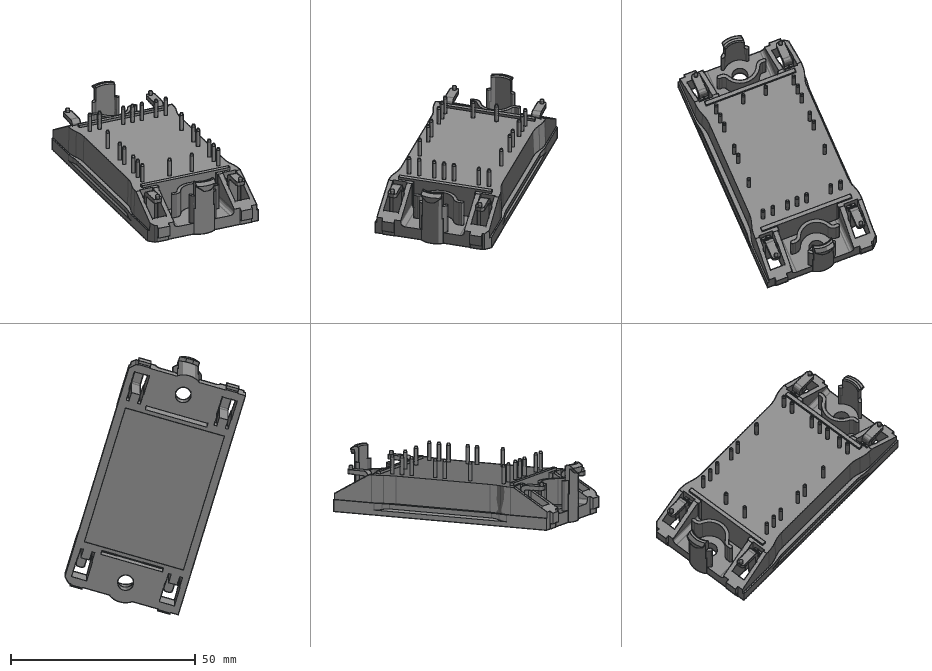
import cadquery as cq
import math

OVERALL_HALF_X = 34.2
BASE_HALF_X = 32.1
BASE_HALF_Y = 16.25
FLOOR_Z = 3.5
LID_Z = 11.1

PLATE_SIZE = (39.2, 28.0, 0.2)
BASE_Z = PLATE_SIZE[2]
CORNER_CHAMFER = 1.55

UPPER_HALF_Y = 15.8
WAIST_HALF_Y = 14.55
DRAFT_ANGLE = 1.5
WAIST_START_X, WAIST_END_X = 14.2, 21.0

SLOPE_TOP_X = 21.85
SLOPE_ANGLE = 30.0

GROOVE_DEPTH = 0.42
GROOVE_START_X, GROOVE_END_X = 15.4, 20.0
GROOVE_LOW_Z, GROOVE_HIGH_Z = 1.6, 2.2

SLOT_IN_X, SLOT_OUT_X = 20.65, 21.75
SLOT_HALF_Y = 8.7
CHANNEL_HALF_Y = 9.0
CHANNEL_RADIUS = 1.25
WINDOW_IN_X = 21.4
WINDOW_OUT_X = 30.0
WINDOW_Y = 12.4
WINDOW_WIDTH = 4.25
WINDOW_NARROW_X = 24.6
WINDOW_IN_WIDTH = 3.95

TAB_REACH = 0.9
TAB_Y = WINDOW_Y
TAB_WIDTH = 3.4
TAB_LOW_Z = 1.7
TAB_FOOT_REACH = 0.15

HOLE_X = 27.5
HOLE_DIAMETER = 4.3

ARM_TIP_X = 29.45
ARM_BACK_X = 23.1
ARM_TOP_Z = 11.55
ARM_THICKNESS = 1.1
ARM_ROOT_THICKNESS = 1.3
ARM_INNER_RADIUS = 0.4
ARM_WIDTH = 2.45
ARM_TIP_RADIUS = 0.8
ARM_BEND_RADIUS = 1.3
ARM_FOOT_Z = 9.0
CROSS_RISE = 0.4
CROSS_THICKNESS = 0.3
STUD_X = 28.8
STUD_DIAMETER = 1.1
STUD_TOP_Z = 12.6
STUD_ROUNDING = 0.35

CLIP_INNER_R, CLIP_OUTER_R = 4.6, 5.65
CLIP_TOP_Z = 15.95
CLIP_TOP_CHAMFER = 0.35
CLIP_HALF_Y = 2.8
CLIP_FOOT_HALF_Y = 3.05
CLIP_SHOULDER_Z = 8.0
CLIP_EAR_OUTER_R = 5.5
CLIP_EAR_ANGLE = 45.0
CLIP_EAR_Z = 11.75
LIP_R = OVERALL_HALF_X - HOLE_X
LIP_LOW_Z, LIP_HIGH_Z = 13.6, 15.2
LIP_LOW_HALF_Y = 1.0
LIP_CORNER_Z = 15.0

GUIDE_R = 4.9
GUIDE_THICKNESS = 0.95
GUIDE_END_X = 26.37
GUIDE_END_Y = 7.1
GUIDE_BEND_R = 1.6
GUIDE_TOP_Z = 10.6

RIB_SIZE = (1.1, 26.3, 0.7)

PIN_DIAMETER = 1.0
PIN_TOP_Z = 16.28
PIN_CHAMFER_HEIGHT = 0.55
PIN_CHAMFER = 0.22
PIN_ROW_Y = 11.35
PIN_COLUMN_X = 16.8
UPPER_ROW_X = [-PIN_COLUMN_X, -6.7, 1.0, 3.9, 11.0, 13.9, PIN_COLUMN_X]
LOWER_ROW_X = [-PIN_COLUMN_X, -5.4, 2.4, 5.2, 11.0, 13.9, PIN_COLUMN_X]
LEFT_COLUMN_Y = [8.45, 4.2, 1.4, -1.4, -8.45]
RIGHT_COLUMN_Y = [3.45, -3.2]


def box(x_min, x_max, y_min, y_max, z_min, z_max):
    size = (x_max - x_min, y_max - y_min, z_max - z_min)
    return cq.Workplane().box(*size, centered=False).translate((x_min, y_min, z_min))


def cylinder(x, y, radius, z_min, z_max):
    return cq.Workplane().workplane(offset=z_min).center(x, y).circle(radius).extrude(z_max - z_min)


def prism_along_y(points, y_center, width):
    """Extrude an XZ outline symmetrically about y_center."""
    return cq.Workplane("XZ", origin=(0, y_center, 0)).polyline(points).close().extrude(width / 2, both=True)


def both_ends(body):
    """The body together with its mirror image at the other end of the part."""
    return body.union(body.mirror("YZ"))


def both_sides(body):
    """The body together with its mirror image on the other long side."""
    return body.union(body.mirror("XZ"))


def slope_z(x):
    """Height of the end slope at a distance x from the middle."""
    return LID_Z - (x - SLOPE_TOP_X) * math.tan(math.radians(SLOPE_ANGLE))


def waisted_outline(z, half_x, wide_y, waist_y, waist_x, wide_x):
    """Closed outline whose long sides narrow to waist_y along smooth S-curves."""
    middle_x = (waist_x + wide_x) / 2
    middle_y = (waist_y + wide_y) / 2
    return (
        cq.Workplane()
        .workplane(offset=z)
        .moveTo(-half_x, 0)
        .lineTo(-half_x, wide_y)
        .lineTo(-wide_x, wide_y)
        .tangentArcPoint((-middle_x, middle_y), relative=False)
        .tangentArcPoint((-waist_x, waist_y), relative=False)
        .lineTo(waist_x, waist_y)
        .tangentArcPoint((middle_x, middle_y), relative=False)
        .tangentArcPoint((wide_x, wide_y), relative=False)
        .lineTo(half_x, wide_y)
        .lineTo(half_x, 0)
        .mirrorX()
    )


def base_flange():
    """Lower slab with a shallow waisted groove along both long sides."""
    slab = box(-BASE_HALF_X, BASE_HALF_X, -BASE_HALF_Y, BASE_HALF_Y, BASE_Z, FLOOR_Z)
    groove_y = BASE_HALF_Y - GROOVE_DEPTH
    groove = (
        cq.Workplane("YZ")
        .polyline([
            (groove_y, FLOOR_Z),
            (groove_y, GROOVE_HIGH_Z),
            (BASE_HALF_Y, GROOVE_LOW_Z),
            (BASE_HALF_Y, FLOOR_Z),
        ])
        .close()
        .extrude(GROOVE_END_X, both=True)
    )
    core = waisted_outline(
        BASE_Z, BASE_HALF_X, BASE_HALF_Y, groove_y, GROOVE_START_X, GROOVE_END_X
    ).extrude(FLOOR_Z - BASE_Z)
    return slab.cut(both_sides(groove.cut(core)))


def housing():
    """Drafted upper body with a flat lid and sloping ends."""
    drafted = waisted_outline(
        FLOOR_Z, OVERALL_HALF_X, UPPER_HALF_Y, WAIST_HALF_Y, WAIST_START_X, WAIST_END_X
    ).extrude(LID_Z - FLOOR_Z, taper=DRAFT_ANGLE)
    end_profile = [
        (-BASE_HALF_X, FLOOR_Z),
        (-BASE_HALF_X, slope_z(BASE_HALF_X)),
        (-SLOPE_TOP_X, LID_Z),
        (SLOPE_TOP_X, LID_Z),
        (BASE_HALF_X, slope_z(BASE_HALF_X)),
        (BASE_HALF_X, FLOOR_Z),
    ]
    return drafted.intersect(prism_along_y(end_profile, 0, 2 * BASE_HALF_Y))


def end_openings():
    """Mounting channel, slot, arm windows and screw hole of one end."""
    channel = box(
        SLOT_OUT_X, BASE_HALF_X, -CHANNEL_HALF_Y, CHANNEL_HALF_Y, FLOOR_Z, 2 * LID_Z
    ).edges("|X and <Z").fillet(CHANNEL_RADIUS)
    slot = box(SLOT_IN_X, SLOT_OUT_X, -SLOT_HALF_Y, SLOT_HALF_Y, 0, LID_Z)
    window_out = box(
        WINDOW_NARROW_X, WINDOW_OUT_X,
        WINDOW_Y - WINDOW_WIDTH / 2, WINDOW_Y + WINDOW_WIDTH / 2, 0, LID_Z,
    )
    narrow_y_min = WINDOW_Y - WINDOW_IN_WIDTH / 2
    narrow_y_max = WINDOW_Y + WINDOW_IN_WIDTH / 2
    window_in = box(SLOT_OUT_X, WINDOW_NARROW_X, narrow_y_min, narrow_y_max, 0, LID_Z).union(
        box(WINDOW_IN_X, SLOT_OUT_X, narrow_y_min, narrow_y_max, FLOOR_Z, LID_Z)
    )
    hole = cylinder(HOLE_X, 0, HOLE_DIAMETER / 2, 0, LID_Z)
    window = window_out.union(window_in)
    return channel.union(slot).union(both_sides(window)).union(hole)


def corner_chamfer():
    """Material to remove from the corner at +X, -Y."""
    return (
        cq.Workplane()
        .moveTo(BASE_HALF_X, -BASE_HALF_Y)
        .lineTo(BASE_HALF_X, -BASE_HALF_Y + CORNER_CHAMFER)
        .lineTo(BASE_HALF_X - CORNER_CHAMFER, -BASE_HALF_Y)
        .close()
        .extrude(LID_Z)
    )


def tab():
    """Locating tab on the end face, topped by the end slope."""
    tip_x = BASE_HALF_X + TAB_REACH
    foot_x = BASE_HALF_X + TAB_FOOT_REACH
    profile = [
        (BASE_HALF_X, BASE_Z),
        (foot_x, BASE_Z),
        (foot_x, TAB_LOW_Z),
        (tip_x, TAB_LOW_Z),
        (tip_x, slope_z(tip_x)),
        (BASE_HALF_X, slope_z(BASE_HALF_X)),
    ]
    return prism_along_y(profile, TAB_Y, TAB_WIDTH)


def spring_arm():
    """Bent arm over the window, its foot on the housing wall and its stud."""
    y_min = WINDOW_Y - ARM_WIDTH / 2
    y_max = WINDOW_Y + ARM_WIDTH / 2
    leg_x = ARM_BACK_X + ARM_THICKNESS
    profile = [
        (ARM_BACK_X, BASE_Z),
        (ARM_BACK_X, ARM_TOP_Z),
        (ARM_TIP_X, ARM_TOP_Z),
        (ARM_TIP_X, ARM_TOP_Z - ARM_THICKNESS),
        (leg_x, ARM_TOP_Z - ARM_ROOT_THICKNESS),
        (leg_x, BASE_Z),
    ]
    bent = prism_along_y(profile, WINDOW_Y, ARM_WIDTH)
    bent = bent.edges("|Z and >X").fillet(ARM_TIP_RADIUS)
    bent = bent.edges("|Y and <X and >Z").fillet(ARM_BEND_RADIUS)
    inner_corner = cq.selectors.NearestToPointSelector((leg_x, WINDOW_Y, ARM_TOP_Z - ARM_ROOT_THICKNESS))
    bent = bent.edges(inner_corner).fillet(ARM_INNER_RADIUS)
    foot = box(WINDOW_IN_X, ARM_BACK_X, y_min, y_max, BASE_Z, ARM_FOOT_Z)
    cross_z = ARM_FOOT_Z + CROSS_RISE
    cross_x = (WINDOW_IN_X + ARM_BACK_X) / 2
    half = CROSS_THICKNESS / 2
    rib = box(WINDOW_IN_X, ARM_BACK_X, WINDOW_Y - half, WINDOW_Y + half, ARM_FOOT_Z, cross_z)
    cross_rib = box(cross_x - half, cross_x + half, y_min, y_max, ARM_FOOT_Z, cross_z)
    stud = cylinder(STUD_X, WINDOW_Y, STUD_DIAMETER / 2, ARM_TOP_Z, STUD_TOP_Z)
    stud = stud.faces(">Z").edges().fillet(STUD_ROUNDING)
    return bent.union(foot).union(rib).union(cross_rib).union(stud)


def clip_ear_wall():
    """Arc wall around the hole with rounded ends, carrying the clip."""
    angle = math.radians(CLIP_EAR_ANGLE)
    cosine, sine = math.cos(angle), math.sin(angle)
    end_r = (CLIP_INNER_R + CLIP_EAR_OUTER_R) / 2
    cap = CLIP_EAR_OUTER_R - end_r
    cap_x, cap_y = end_r * cosine - cap * sine, end_r * sine + cap * cosine
    inner_x, inner_y = CLIP_INNER_R * cosine, CLIP_INNER_R * sine
    outer_x, outer_y = CLIP_EAR_OUTER_R * cosine, CLIP_EAR_OUTER_R * sine
    return (
        cq.Workplane(origin=(HOLE_X, 0, FLOOR_Z))
        .moveTo(inner_x, -inner_y)
        .threePointArc((CLIP_INNER_R, 0), (inner_x, inner_y))
        .threePointArc((cap_x, cap_y), (outer_x, outer_y))
        .threePointArc((CLIP_EAR_OUTER_R, 0), (outer_x, -outer_y))
        .threePointArc((cap_x, -cap_y), (inner_x, -inner_y))
        .close()
        .extrude(CLIP_EAR_Z - FLOOR_Z)
    )


def revolved_ring(section):
    """Full ring about Z from a (radius, z) section."""
    return cq.Workplane("XZ").polyline(section).close().revolve(360, (0, 0), (0, 1))


def clip():
    """Tall curved clip with an outward lip, between two lower ears."""
    section = [
        (CLIP_INNER_R, BASE_Z),
        (CLIP_OUTER_R, BASE_Z),
        (CLIP_OUTER_R, CLIP_TOP_Z),
        (CLIP_INNER_R + CLIP_TOP_CHAMFER, CLIP_TOP_Z),
        (CLIP_INNER_R, CLIP_TOP_Z - CLIP_TOP_CHAMFER),
    ]
    lip_section = [
        (CLIP_INNER_R + CLIP_TOP_CHAMFER, LIP_LOW_Z),
        (LIP_R, LIP_LOW_Z),
        (LIP_R, LIP_HIGH_Z),
        (CLIP_OUTER_R, CLIP_TOP_Z),
        (CLIP_INNER_R + CLIP_TOP_CHAMFER, CLIP_TOP_Z),
    ]
    lip_face = [
        (-LIP_LOW_HALF_Y, LIP_LOW_Z),
        (LIP_LOW_HALF_Y, LIP_LOW_Z),
        (CLIP_HALF_Y, LIP_CORNER_Z),
        (CLIP_HALF_Y, CLIP_TOP_Z),
        (-CLIP_HALF_Y, CLIP_TOP_Z),
        (-CLIP_HALF_Y, LIP_CORNER_Z),
    ]
    ring = revolved_ring(section)
    upper = ring.intersect(box(0, LIP_R, -CLIP_HALF_Y, CLIP_HALF_Y, BASE_Z, CLIP_TOP_Z))
    foot = ring.intersect(
        box(0, LIP_R, -CLIP_FOOT_HALF_Y, CLIP_FOOT_HALF_Y, BASE_Z, CLIP_SHOULDER_Z)
    )
    lip = revolved_ring(lip_section).intersect(
        cq.Workplane("YZ").polyline(lip_face).close().extrude(LIP_R)
    )
    return upper.union(foot).union(lip).translate((HOLE_X, 0, 0)).union(clip_ear_wall())


def guide_wall():
    """S-shaped wall that bends round the inner side of the screw hole."""
    bend_x = HOLE_X - GUIDE_END_X + GUIDE_BEND_R
    centre_distance = GUIDE_R + GUIDE_BEND_R
    bend_angle = math.acos(bend_x / centre_distance)
    bend_y = centre_distance * math.sin(bend_angle)
    joint_x, joint_y = GUIDE_R * math.cos(bend_angle), GUIDE_R * math.sin(bend_angle)
    end_x = HOLE_X - GUIDE_END_X
    end_y = GUIDE_END_Y - GUIDE_THICKNESS / 2
    path = (
        cq.Workplane(origin=(HOLE_X, 0, FLOOR_Z))
        .moveTo(-end_x, end_y)
        .lineTo(-end_x, bend_y)
        .tangentArcPoint((-joint_x, joint_y), relative=False)
        .threePointArc((-GUIDE_R, 0), (-joint_x, -joint_y))
        .tangentArcPoint((-end_x, -bend_y), relative=False)
        .lineTo(-end_x, -end_y)
    )
    return path.offset2D(GUIDE_THICKNESS / 2).extrude(GUIDE_TOP_Z - FLOOR_Z)


def lid_rib():
    length, width, height = RIB_SIZE
    rib = cq.Workplane().box(length, width, height, centered=(True, True, False))
    return rib.translate((SLOT_IN_X - length / 2, 0, LID_Z))


def pins():
    places = [(x, PIN_ROW_Y) for x in UPPER_ROW_X]
    places += [(x, -PIN_ROW_Y) for x in LOWER_ROW_X]
    places += [(-PIN_COLUMN_X, y) for y in LEFT_COLUMN_Y]
    places += [(PIN_COLUMN_X, y) for y in RIGHT_COLUMN_Y]
    return (
        cq.Workplane(origin=(0, 0, LID_Z))
        .pushPoints(places)
        .circle(PIN_DIAMETER / 2)
        .extrude(PIN_TOP_Z - LID_Z)
        .faces(">Z")
        .chamfer(PIN_CHAMFER_HEIGHT, PIN_CHAMFER)
    )


body = base_flange().union(housing())
body = body.cut(both_ends(end_openings()))
body = body.cut(both_ends(corner_chamfer()))

base_plate = cq.Workplane().box(*PLATE_SIZE, centered=(True, True, False))
end_features = both_sides(tab()).union(both_sides(spring_arm())).union(clip()).union(guide_wall())

result = (
    body.union(base_plate)
    .union(both_ends(end_features))
    .union(both_ends(lid_rib()))
    .union(pins())
)